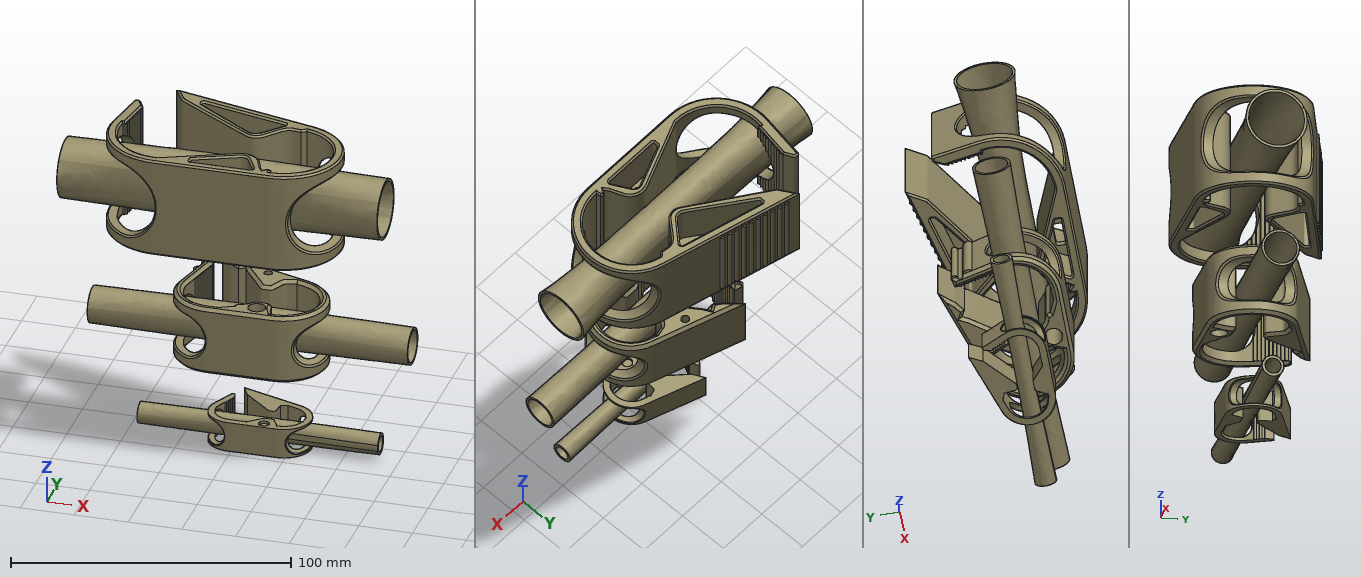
import cadquery as cq
import math


SHARP = 0
ON_SURFACE = 0.02
FAR = 100


def outline(corners):
    """Closed wire through corners (x, y, radius), each corner rounded to its radius."""
    path = None
    for i, (x, y, radius) in enumerate(corners):
        before = corners[i - 1]
        after = corners[(i + 1) % len(corners)]
        corner = cq.Vector(x, y)
        back = (cq.Vector(before[0], before[1]) - corner).normalized()
        ahead = (cq.Vector(after[0], after[1]) - corner).normalized()
        if radius == SHARP:
            start = middle = end = corner
        else:
            half_angle = back.getAngle(ahead) / 2
            tangent_length = radius / math.tan(half_angle)
            start = corner + back * tangent_length
            end = corner + ahead * tangent_length
            middle = corner + (back + ahead).normalized() * (radius / math.sin(half_angle) - radius)
        if path is None:
            path = cq.Workplane("XY").moveTo(start.x, start.y)
        else:
            path = path.lineTo(start.x, start.y)
        if radius != SHARP:
            path = path.threePointArc((middle.x, middle.y), (end.x, end.y))
    return path.close()


def prism(corners, height):
    """Rounded outline extruded evenly to both sides of Z = 0."""
    return outline(corners).extrude(height / 2, both=True)


def arm_point(c, along, inset):
    """Point on the latch arm: distance along its straight outside, and inset from that outside."""
    tilt = math.radians(c["arm_tilt"])
    radius = c["bend_radius"]
    x = c["bend_x"] - radius * math.cos(tilt) + along * math.sin(tilt) + inset * math.cos(tilt)
    y = c["floor_y"] + radius + radius * math.sin(tilt) + along * math.cos(tilt) - inset * math.sin(tilt)
    return x, y


def bend_corner(c, inset):
    """Corner between the floor and the latch arm, at a depth below the outside."""
    radius = c["bend_radius"] - inset
    turn = math.radians(90 + c["arm_tilt"])
    return c["bend_x"] - radius * math.tan(turn / 2), c["floor_y"] + inset, radius


def hinge_corner(c, inset):
    """Corner between the floor and the lever line, rounded by the hinge bend."""
    radius = c["hinge_radius"] - inset
    slope = math.radians(c["lever_slope"])
    return radius / math.tan(slope / 2), c["floor_y"] + inset, radius


def lever_line(c, x, inset=0):
    """Y of the lever's straight outside (or of a line inset from it) at x."""
    slope = math.radians(c["lever_slope"])
    hinge_y = c["floor_y"] + c["hinge_radius"]
    return hinge_y + (c["hinge_radius"] - inset) / math.cos(slope) - x * math.tan(slope)


def frame(c):
    """Springy frame: latch arm, floor, hinge bend and lever, with the two jaws inside."""
    wall = c["wall"]
    ledge_x = c["hinge_ledge_x"]
    corners = [(*arm_point(c, along, inset), radius) for along, inset, radius in c["arm_outside"]]
    corners += [bend_corner(c, 0), hinge_corner(c, 0)]
    corners += [(c["tip_x"], lever_line(c, c["tip_x"]), SHARP)]
    corners += c["upper_jaw"]
    corners += [(ledge_x, lever_line(c, ledge_x, wall), SHARP), hinge_corner(c, wall)]
    corners += c["lower_jaw"]
    corners += [bend_corner(c, wall)]
    corners += [(*arm_point(c, along, inset), radius) for along, inset, radius in c["arm_inside"]]
    return prism(corners, c["height"])


def chamfered(body, size):
    return body.faces(">Z or <Z").chamfer(size)


def add_latch_teeth(body, c):
    """Ratchet teeth along the inside of the latch arm."""
    pitch = c["tooth_pitch"]
    root = c["tooth_root"]
    buried = root - 0.5
    for i in range(c["tooth_count"]):
        along = c["tooth_start"] + i * pitch
        tooth = [
            (*arm_point(c, along, buried), SHARP),
            (*arm_point(c, along, root), SHARP),
            (*arm_point(c, along + 0.2 * pitch, root + c["tooth_depth"]), SHARP),
            (*arm_point(c, along + pitch, root), SHARP),
            (*arm_point(c, along + pitch, buried), SHARP),
        ]
        body = body.union(prism(tooth, c["height"] - 2 * c["chamfer"]))
    return body


def cut_windows(body, c):
    """Round-ended windows for the tube through the latch bend and through the hinge bend."""
    radius = c["window_radius"] - c["rim_chamfer"]
    hinge_y = c["floor_y"] + c["hinge_radius"]
    hinge_x = c["hinge_window_x"] + c["window_radius"]
    bend_x = c["bend_window_x"] - c["window_radius"]

    def along_y(x, direction):
        hole = cq.Workplane("XZ").center(x, 0).circle(radius).extrude(FAR, both=True)
        return hole.union(
            cq.Workplane("XZ").center(x + direction * FAR / 2, 0).rect(FAR, 2 * radius).extrude(FAR, both=True)
        )

    side = cq.Workplane("YZ").center(hinge_y, 0).circle(radius).extrude(-FAR)
    side = side.union(cq.Workplane("YZ").center(hinge_y - FAR / 2, 0).rect(FAR, 2 * radius).extrude(-FAR))
    body = body.cut(along_y(hinge_x, 1)).cut(along_y(bend_x, -1).intersect(side))
    rims = [edge for edge in body.edges().vals() if is_window_rim(c, edge)]
    return body.newObject(rims).chamfer(c["rim_chamfer"])


def is_window_rim(c, edge):
    """True for a curved window edge that lies all along the outside of a bend or of the latch arm."""
    if edge.geomType() in ("LINE", "CIRCLE"):
        return False
    return all(outside_depth(c, edge.positionAt(share)) < ON_SURFACE for share in (0.3, 0.5, 0.7))


def outside_depth(c, point):
    """Distance of a point from the nearest stretch of the frame's curved outside or latch arm."""
    hinge_y = c["floor_y"] + c["hinge_radius"]
    bend_y = c["floor_y"] + c["bend_radius"]
    tilt = math.radians(c["arm_tilt"])
    x = point.x - c["bend_x"]
    y = point.y - bend_y
    arm_depth = abs(c["bend_radius"] + x * math.cos(tilt) - y * math.sin(tilt))
    hinge_depth = abs(math.hypot(point.x, point.y - hinge_y) - c["hinge_radius"])
    bend_depth = abs(math.hypot(x, y) - c["bend_radius"])
    return min(arm_depth, hinge_depth, bend_depth)


def tube_section(x, half_width, half_flat, cap_height):
    """Wire across the tube: two sides and two end caps, a full circle when cap_height is None."""
    def point(y, z):
        return cq.Vector(x, y, z)

    radius = math.hypot(half_width, half_flat)
    round_section = cap_height is None
    top = radius if round_section else half_flat + cap_height
    corners = [point(half_width, -half_flat), point(half_width, half_flat),
               point(-half_width, half_flat), point(-half_width, -half_flat)]
    middles = [point(radius, 0), point(0, top), point(-radius, 0), point(0, -top)]
    edges = []
    for i, middle in enumerate(middles):
        start = corners[i]
        end = corners[(i + 1) % len(corners)]
        flat = not round_section and i % 2 == 0
        edges.append(cq.Edge.makeLine(start, end) if flat else cq.Edge.makeThreePointArc(start, middle, end))
    return cq.Wire.assembleEdges(edges)


def tube_skin(t, inset):
    """Solid that is round at both ends and squeezed flat between the jaws."""
    radius = t["radius"] - inset
    half_flat = t["half_flat"]
    half_seam = t["half_seam"]
    half_pinch = t["half_pinch"] - inset
    half_round = math.sqrt(radius ** 2 - half_seam ** 2)
    sections = [
        tube_section(t["start_x"], half_round, half_seam, None),
        tube_section(t["pinch_x"], half_pinch, half_flat, half_pinch),
        tube_section(t["start_x"] + t["length"], half_round, half_seam, None),
    ]
    return cq.Workplane(cq.Solid.makeLoft(sections))


def tube(t):
    return tube_skin(t, 0).cut(tube_skin(t, t["wall"])).translate((0, t["axis_y"], 0))


def clamp_on_tube(body, t, mid_z):
    return body.union(tube(t)).translate((0, 0, mid_z)).solids()


large_mid_z = 40.43

large_tube = dict(start_x=-81.54, length=119, radius=11.15, wall=1.0, axis_y=0,
                  half_flat=5.8, half_seam=7.1, half_pinch=6.75, pinch_x=-14)

large = dict(
    height=37.7, chamfer=0.7, wall=3.85,
    floor_y=-22.2, hinge_radius=21.5, bend_x=-42.45, bend_radius=23.15,
    arm_tilt=9.5, lever_slope=14.5, tip_x=-50.15,
    arm_outside=[(18.5, 0, 0.8)],
    arm_inside=[(0.3, 3.85, SHARP), (0.3, 4.7, SHARP), (15.0, 4.7, SHARP), (18.5, 2.2, 0.8)],
    upper_jaw=[(-45.9, 27.2, 3), (-12.9, 4.8, 5), (-3.3, 16.2, 5), (1.7, 15.3, SHARP)],
    hinge_ledge_x=3.5,
    lower_jaw=[(-0.4, -18.35, SHARP), (-0.4, -16.3, SHARP), (-1.9, -16.1, SHARP), (-3.2, -17.4, SHARP),
               (-4.2, -16.0, SHARP), (-8.7, -4.5, 6.8), (-41.8, -18.35, 2)],
    tooth_start=0.5, tooth_pitch=1.6, tooth_count=9, tooth_depth=0.7, tooth_root=4.7,
    window_radius=14.8, hinge_window_x=6.4, bend_window_x=-41.3, rim_chamfer=0.6,
)

large_web = 3
lever_pocket = [(-38.3, 27.7, 0.5), (-4.4, 19.0, 0.8), (-13.9, 8.4, 3), (-38.3, 25.9, 0.5)]
floor_pocket = [(-30, -18.4, 0.4), (-30, -16.2, 0.5), (-11.6, -8.6, 2.5), (-6.3, -18.4, 0.8)]

lever_opening_place = (-14.1, 16.5)
lever_opening_radii = (3.9, 2.6)
floor_opening_place = (-16.05, -15.25)
floor_opening_size = (8.7, 3.7)
floor_opening_corner = 1

ridge_count = 10
ridge_pitch = 2.92
ridge_first_x = -45
ridge_radius = 1.0
ridge_sink = 0.3
ridge_end_gap = 2


def cut_large_pockets(body):
    """Pockets in the lever and the floor from both ends, leaving a web at mid height."""
    depth = (large["height"] - large_web) / 2
    for corners in (lever_pocket, floor_pocket):
        for side in (1, -1):
            body = body.cut(prism(corners, depth).translate((0, 0, side * (large_web + depth) / 2)))
    return body


def cut_web_openings(body):
    """An oval opening in the lever's web and a rounded rectangular one in the floor's web."""
    lever_opening = (
        cq.Workplane("XY").center(*lever_opening_place).transformed(rotate=(0, 0, -large["lever_slope"]))
        .ellipse(*lever_opening_radii).extrude(large_web, both=True)
    )
    floor_opening = (
        cq.Workplane("XY").center(*floor_opening_place).rect(*floor_opening_size)
        .extrude(large_web, both=True).edges("|Z").fillet(floor_opening_corner)
    )
    return body.cut(lever_opening).cut(floor_opening)


def add_thumb_ridges(body):
    """Round grip ridges across the outside of the lever."""
    for i in range(ridge_count):
        x = ridge_first_x + i * ridge_pitch
        ridge = (
            cq.Workplane("XY").center(x, lever_line(large, x, ridge_sink)).circle(ridge_radius)
            .extrude(large["height"] / 2 - ridge_end_gap, both=True)
        )
        body = body.union(ridge)
    return body


def large_clamp():
    body = chamfered(cut_large_pockets(frame(large)), large["chamfer"])
    body = add_latch_teeth(body, large)
    body = add_thumb_ridges(cut_web_openings(body))
    return cut_windows(body, large)


medium_mid_z = -12.8

medium_tube = dict(start_x=-71.28, length=119, radius=6.85, wall=0.9, axis_y=-0.65,
                   half_flat=1.75, half_seam=1.75, half_pinch=5.7, pinch_x=-6.5)

medium = dict(
    height=26.2, chamfer=1.2, wall=3.5,
    floor_y=-17.52, hinge_radius=16.42, bend_x=-24.14, bend_radius=16.1,
    arm_tilt=13.9, lever_slope=18.2, tip_x=-30.6,
    arm_outside=[(18.6, 0, SHARP)],
    arm_inside=[(18.6, 3.5, SHARP)],
    upper_jaw=[(-25.9, 20.7, SHARP), (-22.4, 18.0, SHARP), (-20.0, 19.3, SHARP), (-18.8, 17.0, SHARP),
               (-10.2, 4.95, 1.3), (-6.2, 4.95, 1.3), (-3.2, 11.2, 2)],
    hinge_ledge_x=1,
    lower_jaw=[(-1, -14.02, SHARP), (-2.3, -10.5, SHARP), (-3.0, -6.25, 1.3), (-9, -6.25, 2),
               (-13, -9.5, SHARP), (-15.4, -10.4, SHARP), (-16.2, -12, SHARP), (-20.5, -14.02, SHARP)],
    tooth_start=5, tooth_pitch=1.4, tooth_count=9, tooth_depth=0.7, tooth_root=3.5,
    window_radius=8.8, hinge_window_x=7.0, bend_window_x=-24.1, rim_chamfer=0.6,
)

jaw_hole_place = (-7.0, -11.6)
jaw_hole_radius = 3.2
lever_recess_place = (-10.6, 15.6)
lever_recess_radius = 1.5
lever_recess_depth = 6


def shape_finger_grip(body):
    """Bump and groove across the outside of the latch arm, below a flared tip."""
    grip_height = medium["height"] - 2 * medium["chamfer"]

    def bar(along, inset, radius, height):
        place = arm_point(medium, along, inset)
        return cq.Workplane("XY").center(*place).circle(radius).extrude(height / 2, both=True)

    groove = bar(15.2, -0.3, 1.3, medium["height"])
    bump = bar(12.2, 1.2, 2.2, grip_height)
    flare = bar(17.4, 0.4, 1.2, grip_height)
    return body.cut(groove).union(bump).union(flare)


def medium_clamp():
    body = chamfered(frame(medium), medium["chamfer"])
    body = shape_finger_grip(body)
    body = add_latch_teeth(body, medium)
    top = body.faces(">Z").workplane(origin=(0, 0, 0))
    body = top.pushPoints([jaw_hole_place]).circle(jaw_hole_radius).cutThruAll()
    top = body.faces(">Z").workplane(origin=(0, 0, 0))
    body = top.pushPoints([lever_recess_place]).circle(lever_recess_radius).cutBlind(-lever_recess_depth)
    return cut_windows(body, medium)


small_mid_z = -53.55

small_tube = dict(start_x=-53.5, length=89.4, radius=3.97, wall=1.1, axis_y=-0.97,
                  half_flat=1.17, half_seam=1.17, half_pinch=3.1, pinch_x=-4.5)

small = dict(
    height=11.45, chamfer=0, wall=2.5,
    floor_y=-10.91, hinge_radius=10.24, bend_x=-18.28, bend_radius=9.5,
    arm_tilt=25, lever_slope=19.0, tip_x=-19.9,
    arm_outside=[(10, 0, 0.4)],
    arm_inside=[(3, 2.5, SHARP), (8, 2.5, SHARP), (10, 1.2, 0.4)],
    upper_jaw=[(-17.4, 12.1, SHARP), (-6.5, 2.05, 1), (-4.2, 2.05, 1), (-3.6, 7.0, SHARP)],
    hinge_ledge_x=-1,
    lower_jaw=[(-0.6, -8.41, SHARP), (-0.9, -7.6, SHARP), (-2.8, -4.0, SHARP), (-6.6, -4.0, SHARP),
               (-11.8, -8.41, SHARP)],
    tooth_start=3, tooth_pitch=1.0, tooth_count=5, tooth_depth=0.5, tooth_root=2.5,
    window_radius=4.95, hinge_window_x=3.1, bend_window_x=-19.1, rim_chamfer=0.3,
)

jaw_recess_place = (-5.4, -7.9)
jaw_recess_radius = 1.9
jaw_recess_depth = 1


def small_clamp():
    body = add_latch_teeth(frame(small), small)
    top = body.faces(">Z").workplane(origin=(0, 0, 0))
    body = top.pushPoints([jaw_recess_place]).circle(jaw_recess_radius).cutBlind(-jaw_recess_depth)
    return cut_windows(body, small)


large_set = clamp_on_tube(large_clamp(), large_tube, large_mid_z)
medium_set = clamp_on_tube(medium_clamp(), medium_tube, medium_mid_z)
small_set = clamp_on_tube(small_clamp(), small_tube, small_mid_z)

result = cq.Compound.makeCompound([large_set.val(), medium_set.val(), small_set.val()])